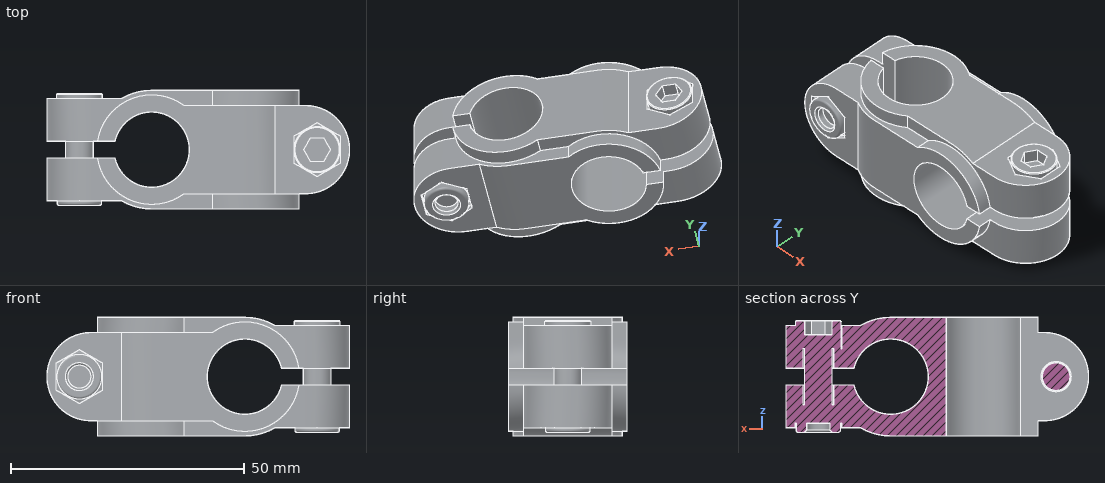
import cadquery as cq
import math


overall_length = 65.0
body_height = 25.5
arm_width = 19.0
ear_thickness = 22.0
bore_offset = 10.0
bore_diameter = 16.1
collar_diameter = 23.5
slot_width = 3.5

screw_inset = 7.0
shank_diameter = 6.0
clearance_diameter = 6.5
end_projection = 1.0
pocket_flats = 10.0
pocket_depth = 5.0
head_diameter = 9.9
head_chamfer = 0.2
socket_flats = 5.0
socket_depth = 3.0

nut_collar_diameter = 9.6
nut_round = 0.5
nut_shoulder_depth = 1.0
nut_cone_angle = 15.0
nut_mouth_diameter = 6.0
nut_hole_diameter = 4.92
nut_hole_depth = 2.0

hexagon_sides = 6
hexagon_half_angle = 180 / hexagon_sides
half_length = overall_length / 2
half_height = body_height / 2
ear_face = ear_thickness / 2
ear_radius = arm_width / 2
ear_center = half_length - ear_radius
screw_x = half_length - screw_inset
fastener_end = ear_face + end_projection
pocket_floor = ear_face - pocket_depth
corner_factor = 1 / math.cos(math.radians(hexagon_half_angle))


def cylinder(x, diameter, bottom, top):
    """Upright cylinder between two heights, with its axis at the given X."""
    return cq.Workplane("XY", origin=(x, 0, bottom)).circle(diameter / 2).extrude(top - bottom)


def hexagonal_prism(x, flats, bottom, top, turn=0.0):
    """Upright hexagonal prism, corners along X unless turned about its axis."""
    profile = cq.Workplane("XY", origin=(x, 0, bottom)).transformed(rotate=(0, 0, turn))
    return profile.polygon(hexagon_sides, flats * corner_factor).extrude(top - bottom)


def other_half(shape):
    """Carry a shape of the +X eared half over to the -X eared half."""
    return shape.rotate((0, 0, 0), (0, 0, 1), 180).rotate((0, 0, 0), (1, 0, 0), -90)


def half_body():
    """Collar on the left, full-height middle, and a thinner round-ended ear on the right."""
    collar = cylinder(-bore_offset, collar_diameter, -half_height, half_height)
    middle_length = 2 * bore_offset
    middle = cq.Workplane("XY").box(middle_length, arm_width, body_height)
    shoulder = (
        cq.Workplane("XZ", origin=(bore_offset, 0, 0))
        .circle(half_height)
        .extrude(arm_width / 2, both=True)
    )
    ear_plate = (
        cq.Workplane("XY")
        .box(ear_center, arm_width, ear_thickness)
        .translate((ear_center / 2, 0, 0))
    )
    ear_end = cylinder(ear_center, arm_width, -ear_face, ear_face)
    return collar.union(middle).union(shoulder).union(ear_plate).union(ear_end)


def half_openings():
    """Collar bore, ear slot reaching the crossing bore, screw clearance hole, and two hexagonal pockets."""
    bore = cylinder(-bore_offset, bore_diameter, -half_height, half_height)
    slot_length = half_length - bore_offset
    slot = (
        cq.Workplane("XY")
        .box(slot_length, body_height, slot_width)
        .translate((bore_offset + slot_length / 2, 0, 0))
    )
    clearance = cylinder(screw_x, clearance_diameter, -pocket_floor, pocket_floor)
    head_pocket = hexagonal_prism(screw_x, pocket_flats, pocket_floor, ear_face, hexagon_half_angle)
    nut_pocket = hexagonal_prism(screw_x, pocket_flats, -ear_face, -pocket_floor, hexagon_half_angle)
    return bore, slot, clearance, head_pocket, nut_pocket


def socket_screw():
    """Shank and socket head; the head seats in its pocket and stands just proud of the ear."""
    shank = cylinder(screw_x, shank_diameter, -pocket_floor, pocket_floor)
    head = cylinder(screw_x, head_diameter, pocket_floor, fastener_end)
    head = head.faces(">Z").edges().chamfer(head_chamfer)
    socket = hexagonal_prism(screw_x, socket_flats, fastener_end - socket_depth, fastener_end)
    return shank.union(head).cut(socket)


def nut_hole():
    """Blind hole in the nut, with a chamfered mouth."""
    mouth_chamfer = (nut_mouth_diameter - nut_hole_diameter) / 2
    hole = cylinder(screw_x, nut_hole_diameter, -fastener_end, -fastener_end + nut_hole_depth)
    mouth = (
        cq.Workplane("XY", origin=(screw_x, 0, -fastener_end))
        .circle(nut_mouth_diameter / 2)
        .workplane(offset=mouth_chamfer)
        .circle(nut_hole_diameter / 2)
        .loft()
    )
    return hole.union(mouth)


def lock_nut():
    """Hexagon nut filling its pocket, with cone-relieved corners and a protruding round collar."""
    collar = cylinder(screw_x, nut_collar_diameter, -fastener_end, -pocket_floor)
    collar = collar.faces("<Z").edges().fillet(nut_round)
    shoulder_z = -ear_face + nut_shoulder_depth
    nut_corners = pocket_flats * corner_factor
    cone_height = (nut_corners - pocket_flats) / 2 * math.tan(math.radians(nut_cone_angle))
    cone = (
        cq.Workplane("XY", origin=(screw_x, 0, shoulder_z))
        .circle(pocket_flats / 2)
        .workplane(offset=cone_height)
        .circle(nut_corners / 2)
        .loft()
    )
    cone_base = cylinder(screw_x, nut_corners, shoulder_z + cone_height, -pocket_floor)
    prism = hexagonal_prism(screw_x, pocket_flats, shoulder_z, -pocket_floor, hexagon_half_angle)
    return prism.intersect(cone.union(cone_base)).union(collar).cut(nut_hole())


result = half_body().union(other_half(half_body()))
for opening in half_openings():
    result = result.cut(opening).cut(other_half(opening))
for fastener in (socket_screw(), lock_nut()):
    result = result.union(fastener).union(other_half(fastener))